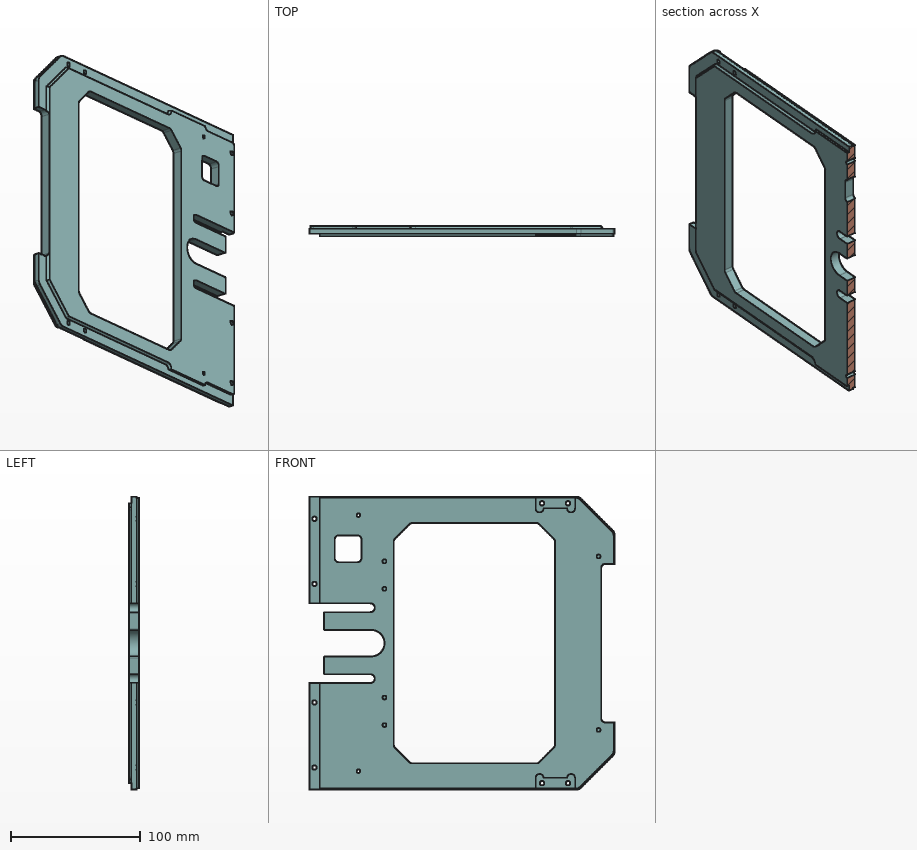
import cadquery as cq
import math

LENGTH = 235.5
HEIGHT = 225.9
THICKNESS = 8.0
HALF_HEIGHT = HEIGHT / 2

FRONT_LAYER = THICKNESS / 4
BACK_LAYER = THICKNESS / 4
CORE_BACK = THICKNESS - BACK_LAYER

CORNER_CUT = 27.5
CORNER_ROUND = 5.0

STRIP_WIDTH = 8.0
FRONT_INSET = 1.0

BACK_LEFT = 1.0
BACK_RIGHT = 226.3
BACK_EDGE_Z = HALF_HEIGHT - 8.0
BACK_CORNER_ROUND = 2.0
TAB_LEFT = 36.0
TAB_RIGHT = 78.7
TAB_Z = HALF_HEIGHT - 5.0
TAB_ROUND = TAB_Z - BACK_EDGE_Z
DIAGONAL_X = 202.3
DIAGONAL_ROUND = 2.5
WALL_LEAN = 36.0

WINDOW_LEFT = 65.2
WINDOW_RIGHT = 189.4
WINDOW_HALF_HEIGHT = 92.5
WINDOW_CORNER_CUT = 13.0
WINDOW_ROUND = 3.0

SQUARE_SIZE = 20.5
SQUARE_CENTRE = (30.0, 72.8)
SQUARE_ROUND = 3.0

OPENING_HALF_HEIGHT = 30.5
FINGER_LEFT = 11.3
FINGER_OUTER_Z = 24.0
FINGER_INNER_Z = 10.1
FINGER_ROUND = 1.0
SIDE_SLOT_END = 50.5
MIDDLE_SLOT_END = 58.0

NOTCH_LEFT = 225.1
NOTCH_HALF_HEIGHT = 61.0
NOTCH_ROUND = 3.0

POCKET_LEFT = 174.5
POCKET_RIGHT = 205.0
POCKET_FLOOR_Z = 103.9
POCKET_DEPTH = 1.0
LOBE_RADIUS = 3.0

STRIP_HOLES = [(STRIP_WIDTH / 2, 95.9), (STRIP_WIDTH / 2, 45.7)]
POCKET_HOLES = [(179.5, 107.9), (199.5, 107.9)]
SMALL_HOLE = (38.0, 98.7)
BLIND_HOLES = [(58.0, 63.0), (58.0, 42.0), (223.0, 67.0)]
THROUGH_DIAMETER = 3.3
SMALL_DIAMETER = 2.5
BLIND_DIAMETER = 3.0
BLIND_DEPTH = THICKNESS / 2


def plane_at(y):
    """Workplane parallel to XZ at the given Y; local axes are X and Z, normal is -Y."""
    return cq.Workplane("XZ", origin=(0, y, 0))


def slab(sketch, thickness):
    """Extrude a sketch from its plane toward +Y."""
    return sketch.extrude(-thickness)


def mirrored(points):
    """Points in the upper half followed by their images in the lower half."""
    return points + [(x, -z) for x, z in points]


def plate(left, inset, front, thickness):
    """Plate with two cut right corners, set in from the outer edge."""
    top = HALF_HEIGHT - inset
    right = LENGTH - inset
    cut = CORNER_CUT - inset * (2 - math.sqrt(2))
    upper = [(left, top), (right - cut, top), (right, top - cut)]
    outline = upper + [(x, -z) for x, z in reversed(upper)]
    body = slab(plane_at(front).polyline(outline).close(), thickness)
    return body.edges("|Y and (not <X)").fillet(CORNER_ROUND - inset)


def back_plate():
    """Back layer with a raised tab on its edges; right of the tab the wall leans inward."""
    edge, tab = BACK_EDGE_Z, TAB_Z
    straight = slab(
        plane_at(CORE_BACK)
        .moveTo(BACK_LEFT, 0)
        .lineTo(BACK_LEFT, edge - BACK_CORNER_ROUND)
        .radiusArc((BACK_LEFT + BACK_CORNER_ROUND, edge), BACK_CORNER_ROUND)
        .lineTo(TAB_LEFT - TAB_ROUND, edge)
        .radiusArc((TAB_LEFT, tab), -TAB_ROUND)
        .lineTo(LENGTH, tab)
        .lineTo(LENGTH, 0)
        .mirrorX(),
        BACK_LAYER,
    )
    tangent = DIAGONAL_ROUND * math.tan(math.pi / 8)
    diagonal_step = tangent / math.sqrt(2)
    diagonal_start = (DIAGONAL_X + diagonal_step, edge - diagonal_step)
    leaning = (
        plane_at(CORE_BACK)
        .moveTo(-LENGTH, 0)
        .lineTo(-LENGTH, HEIGHT)
        .lineTo(TAB_RIGHT, HEIGHT)
        .lineTo(TAB_RIGHT, tab)
        .radiusArc((TAB_RIGHT + TAB_ROUND, edge), -TAB_ROUND)
        .lineTo(DIAGONAL_X - tangent, edge)
        .radiusArc(diagonal_start, DIAGONAL_ROUND)
        .lineTo(BACK_RIGHT, edge - (BACK_RIGHT - DIAGONAL_X))
        .lineTo(BACK_RIGHT, 0)
        .mirrorX()
        .extrude(-BACK_LAYER, taper=WALL_LEAN)
    )
    return straight.intersect(leaning)


def main_window():
    """Through window with cut, slightly rounded corners."""
    width = WINDOW_RIGHT - WINDOW_LEFT
    centre = (WINDOW_LEFT + WINDOW_RIGHT) / 2
    block = slab(plane_at(0).center(centre, 0).rect(width, 2 * WINDOW_HALF_HEIGHT), THICKNESS)
    return block.edges("|Y").chamfer(WINDOW_CORNER_CUT).edges("|Y").fillet(WINDOW_ROUND)


def square_window():
    """Small through window with rounded corners."""
    block = slab(plane_at(0).center(*SQUARE_CENTRE).rect(SQUARE_SIZE, SQUARE_SIZE), THICKNESS)
    return block.edges("|Y").fillet(SQUARE_ROUND)


def round_ended_slot(end, low, high):
    """Slot from the left edge to a half-round end at X = end, between two Z levels."""
    radius = (high - low) / 2
    profile = (
        plane_at(0)
        .moveTo(0, low)
        .lineTo(end - radius, low)
        .threePointArc((end, low + radius), (end - radius, high))
        .lineTo(0, high)
        .close()
    )
    return slab(profile, THICKNESS)


def finger_opening():
    """Left opening: everything cleared around the two fingers."""
    opening = (
        slab(plane_at(0).rect(2 * FINGER_LEFT, 2 * OPENING_HALF_HEIGHT), THICKNESS)
        .union(round_ended_slot(SIDE_SLOT_END, FINGER_OUTER_Z, OPENING_HALF_HEIGHT))
        .union(round_ended_slot(MIDDLE_SLOT_END, -FINGER_INNER_Z, FINGER_INNER_Z))
        .union(round_ended_slot(SIDE_SLOT_END, -OPENING_HALF_HEIGHT, -FINGER_OUTER_Z))
    )
    finger_tips = cq.selectors.BoxSelector(
        (FINGER_LEFT / 2, -THICKNESS, -FINGER_OUTER_Z - FINGER_ROUND),
        (FINGER_LEFT * 2, THICKNESS * 2, FINGER_OUTER_Z + FINGER_ROUND),
    )
    return opening.edges("|Y").edges(finger_tips).fillet(FINGER_ROUND)


def right_notch():
    """Notch through the right edge with rounded inner corners."""
    depth = LENGTH - NOTCH_LEFT
    block = plane_at(0).center(LENGTH, 0).rect(2 * depth, 2 * NOTCH_HALF_HEIGHT)
    return slab(block, THICKNESS).edges("|Y and <X").fillet(NOTCH_ROUND)


def lobed_pocket():
    """Shallow front pocket at the top edge, with a round lobe at each lower corner."""
    width = POCKET_RIGHT - POCKET_LEFT
    height = HALF_HEIGHT - POCKET_FLOOR_Z
    lobes = [(POCKET_LEFT + LOBE_RADIUS, POCKET_FLOOR_Z), (POCKET_RIGHT - LOBE_RADIUS, POCKET_FLOOR_Z)]
    bar = plane_at(0).center(POCKET_LEFT, POCKET_FLOOR_Z).rect(width, height, centered=False)
    ends = plane_at(0).pushPoints(lobes).circle(LOBE_RADIUS)
    return slab(bar, POCKET_DEPTH).union(slab(ends, POCKET_DEPTH))


def holes(points, diameter, depth):
    """Round holes drilled from the front at the given points and their mirror images."""
    return slab(plane_at(0).pushPoints(mirrored(points)).circle(diameter / 2), depth)


body = (
    plate(0, 0, FRONT_LAYER, CORE_BACK - FRONT_LAYER)
    .union(plate(STRIP_WIDTH, FRONT_INSET, 0, FRONT_LAYER))
    .union(back_plate())
)

pocket = lobed_pocket()
cutters = [
    main_window(),
    square_window(),
    finger_opening(),
    right_notch(),
    pocket,
    pocket.mirror("XY"),
    holes(STRIP_HOLES + POCKET_HOLES, THROUGH_DIAMETER, THICKNESS),
    holes([SMALL_HOLE], SMALL_DIAMETER, THICKNESS),
    holes(BLIND_HOLES, BLIND_DIAMETER, BLIND_DEPTH),
]
for cutter in cutters:
    body = body.cut(cutter)

result = body